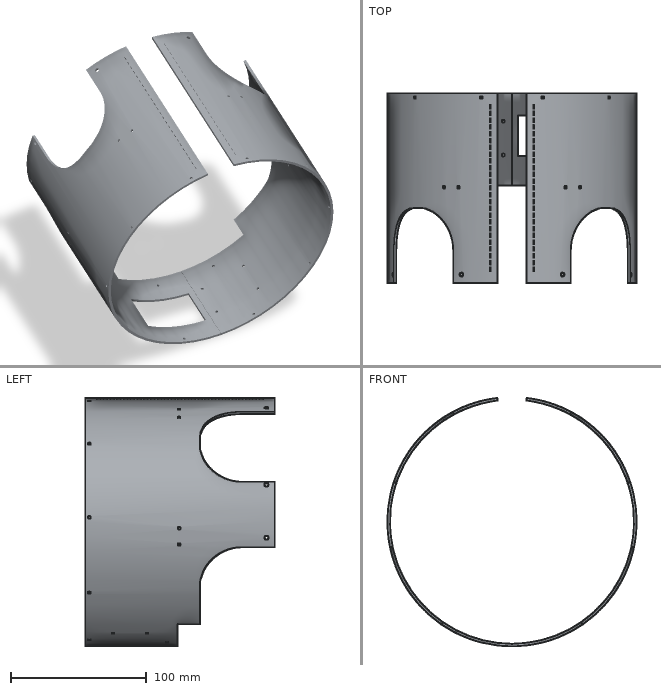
import cadquery as cq
import math


outer_radius = 92.0
wall = 2.0
inner_radius = outer_radius - wall
length = 140.0
bottom = 180.0
gap_half_angle = 6.7

notch_depth = 55.2
notch_half_width = 34.6
notch_corner_radius = 31.0
notch_half_angle = math.degrees(notch_half_width / outer_radius)
tab_start_angle = 71.3
tab_end_angle = 101.9
upper_notch_angle = tab_start_angle - notch_half_angle
lower_notch_angle = tab_end_angle + notch_half_angle
corner_steps = 8

step_depth = 71.8
step_half_angle = 34.5

groove_width = 0.2
groove_depth = 0.4

window_start_angle = 145.1
window_end_angle = 177.2
window_front = 93.8
window_back = 123.5

slit_angle = 10.1
slit_width = 0.4
slit_length = 3.0
slit_count = 25
first_slit_y = 10.1
last_slit_y = 130.1
slit_pitch = (last_slit_y - first_slit_y) / (slit_count - 1)

small_hole = 2.0
large_hole = 3.0
back_hole_y = length - 3.1
back_hole_pitch = 36.8
back_holes_per_side = 5
pair_hole_y = 70.7
pair_hole_angles = (25.5, 33.1, 93.0, 100.6)
front_hole_y = 6.3
front_hole_angles = (24.0, 72.6, 97.5)
step_hole_y = 79.7
step_hole_angle = 165.5
plate_hole_ys = (94.4, 119.5)
plate_hole_angles = (-153.6, -175.9)

cutter_margin = 9.2
cutter_inner = inner_radius - cutter_margin
cutter_outer = outer_radius + cutter_margin


def turned(shape, angle):
    """Turn a shape made at the top of the tube to its angle around the axis."""
    return shape.rotate((0, 0, 0), (0, 1, 0), angle)


def tube():
    """Ring section in two mirrored halves that meet at the bottom, drawn along Y."""
    section = (
        cq.Workplane("XZ")
        .moveTo(0, outer_radius)
        .threePointArc((outer_radius, 0), (0, -outer_radius))
        .lineTo(0, -inner_radius)
        .threePointArc((inner_radius, 0), (0, inner_radius))
        .close()
    )
    half = section.extrude(-length)
    return half.union(half.mirror("YZ"))


def sector(middle_angle, half_angle, y_start, y_end):
    """Wedge with radial sides that cuts a straight-sided opening out of the wall."""
    half_width = cutter_outer * math.tan(math.radians(half_angle))
    wedge = (
        cq.Workplane("XZ", origin=(0, y_start, 0))
        .polyline([(0, 0), (half_width, cutter_outer), (-half_width, cutter_outer)])
        .close()
        .extrude(y_start - y_end)
    )
    return turned(wedge, middle_angle)


def corner(side, height):
    """Quarter-round notch corner on the unrolled wall, projected radially onto a level plane."""
    points = []
    for step in range(corner_steps + 1):
        turn = math.pi / 2 * step / corner_steps
        across = notch_half_width - notch_corner_radius * (1 - math.cos(turn))
        y = notch_depth - notch_corner_radius * (1 - math.sin(turn))
        points.append(cq.Vector(side * height * math.tan(across / outer_radius), y, height))
    return cq.Edge.makeSpline(points, tangents=[cq.Vector(0, 1, 0), cq.Vector(-side, 0, 0)])


def notch(middle_angle):
    """Round-cornered notch with radial walls, lofted between two planes across the wall."""
    sections = []
    for height in (cutter_inner, cutter_outer):
        right_corner = corner(1, height)
        left_corner = corner(-1, height)
        right_start = right_corner.startPoint()
        left_start = left_corner.startPoint()
        front_right = cq.Vector(right_start.x, 0, height)
        front_left = cq.Vector(left_start.x, 0, height)
        sections.append(
            cq.Wire.assembleEdges([
                cq.Edge.makeLine(front_right, right_start),
                right_corner,
                cq.Edge.makeLine(right_corner.endPoint(), left_corner.endPoint()),
                left_corner,
                cq.Edge.makeLine(left_start, front_left),
                cq.Edge.makeLine(front_left, front_right),
            ])
        )
    return turned(cq.Workplane(cq.Solid.makeLoft(sections, True)), middle_angle)


def hole(angle, y, diameter):
    """Round hole drilled radially through the wall."""
    drill = (
        cq.Workplane("XY", origin=(0, y, cutter_inner))
        .circle(diameter / 2)
        .extrude(cutter_outer - cutter_inner)
    )
    return turned(drill, angle)


def slit(angle, y_middle):
    """Short narrow slit through the wall along Y."""
    blade = (
        cq.Workplane("XY", origin=(0, y_middle, cutter_inner))
        .slot2D(slit_length, slit_width, 90)
        .extrude(cutter_outer - cutter_inner)
    )
    return turned(blade, angle)


def groove():
    """Fine straight groove along the whole inside of the bottom."""
    return cq.Workplane("XY", origin=(0, length / 2, -inner_radius)).box(
        groove_width, length, 2 * groove_depth
    )


cutters = [
    sector(0, gap_half_angle, 0, length),
    sector(bottom, bottom - lower_notch_angle, 0, notch_depth),
    sector(bottom, step_half_angle, 0, step_depth),
    groove(),
    sector(
        (window_start_angle + window_end_angle) / 2,
        (window_end_angle - window_start_angle) / 2,
        window_front,
        window_back,
    ),
]

for side in (-1, 1):
    cutters.append(notch(side * upper_notch_angle))
    cutters.append(notch(side * lower_notch_angle))
    for index in range(slit_count):
        cutters.append(slit(side * slit_angle, first_slit_y + index * slit_pitch))
    for index in range(back_holes_per_side):
        from_bottom = (index + 0.5) * back_hole_pitch
        cutters.append(hole(side * (bottom - from_bottom), back_hole_y, small_hole))
    for angle in pair_hole_angles:
        cutters.append(hole(side * angle, pair_hole_y, small_hole))
    for angle in front_hole_angles:
        cutters.append(hole(side * angle, front_hole_y, large_hole))
    cutters.append(hole(side * step_hole_angle, step_hole_y, small_hole))

for angle in plate_hole_angles:
    for y in plate_hole_ys:
        cutters.append(hole(angle, y, small_hole))

body = tube().val()
result = cq.Workplane(body.cut(*[cutter.val() for cutter in cutters]))